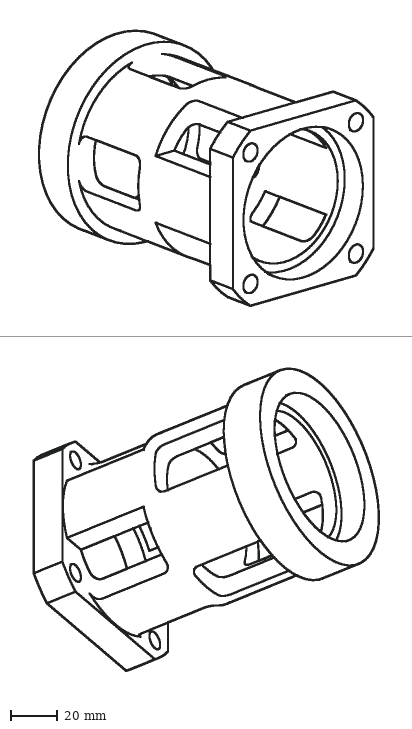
import cadquery as cq

length = 122.0
ring_length = 19.0
plate_thickness = 15.0
plate_start = length - plate_thickness

ring_diameter = 90.0
tube_diameter = 79.0
bore_diameter = 60.0
recess_diameter = 68.0
recess_depth = 12.0

plate_side = 80.0
plate_corner_diameter = 100.0
bolt_spacing = 60.0
bolt_hole_diameter = 8.2

window_length = 40.0
window_width = 25.0
window_radius = 4.0
notch_offset = 15.2


def cylinder(diameter, start, size):
    """Solid cylinder on the X axis, beginning at X = start."""
    return cq.Workplane("YZ", origin=(start, 0, 0)).circle(diameter / 2).extrude(size)


def mounting_plate():
    """Square end plate with corners trimmed to a circle, and four through holes."""
    plate = (
        cq.Workplane("YZ", origin=(plate_start, 0, 0))
        .rect(plate_side, plate_side)
        .extrude(plate_thickness)
        .intersect(cylinder(plate_corner_diameter, plate_start, plate_thickness))
    )
    holes = (
        cq.Workplane("YZ", origin=(plate_start, 0, 0))
        .rect(bolt_spacing, bolt_spacing, forConstruction=True)
        .vertices()
        .circle(bolt_hole_diameter / 2)
        .extrude(plate_thickness)
    )
    return plate.cut(holes)


def side_windows():
    """Rounded windows next to the ring, through the tube along Y and Z."""
    window_center = ring_length + window_length / 2
    vertical = (
        cq.Workplane("XY")
        .center(window_center, 0)
        .rect(window_length, window_width)
        .extrude(tube_diameter / 2, both=True)
        .edges("|Z")
        .fillet(window_radius)
    )
    return vertical.union(vertical.rotate((0, 0, 0), (1, 0, 0), 90))


def corner_notch(y_sign, z_sign):
    """Square-edged notch in one tube quadrant, rounded along its inner Z edges."""
    notch_size = tube_diameter / 2
    notch_middle = notch_offset + notch_size / 2
    inner_edges = "|Z and <Y" if y_sign > 0 else "|Z and >Y"
    return (
        cq.Workplane("XY")
        .box(window_length, notch_size, notch_size)
        .edges(inner_edges)
        .fillet(window_radius)
        .translate((plate_start - window_length / 2, y_sign * notch_middle, z_sign * notch_middle))
    )


tube = cylinder(tube_diameter, 0, plate_start).cut(side_windows())
for y_sign in (-1, 1):
    for z_sign in (-1, 1):
        tube = tube.cut(corner_notch(y_sign, z_sign))

body = tube.union(cylinder(ring_diameter, 0, ring_length)).union(mounting_plate())

result = (
    body.cut(cylinder(bore_diameter, 0, length))
    .cut(cylinder(recess_diameter, 0, recess_depth))
    .cut(cylinder(recess_diameter, length - recess_depth, recess_depth))
)